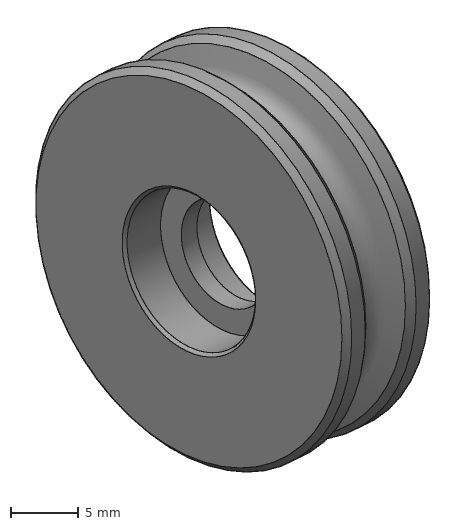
import cadquery as cq
import math

outer_radius = 32 / 2
width = 9.5
half_width = width / 2
face_chamfer = 0.5
rim_land = 1.47

groove_radius = 1.75
groove_floor_radius = 12.5
wall_angle = math.radians(15)
lip_drop = 0.5

bore_radius = 8.8 / 2
recess_radius = 13.0 / 2
recess_chamfer = 0.25
web_thickness = 1.7


def wheel_blank():
    """Solid grooved wheel, revolved from its half section."""
    rim_radius = outer_radius - face_chamfer
    land_outer_y = half_width - face_chamfer
    land_inner_y = land_outer_y - rim_land
    lip_radius = outer_radius - lip_drop
    arc_end_y = groove_radius * math.cos(wall_angle)
    arc_end_radius = groove_floor_radius + groove_radius * (1 - math.sin(wall_angle))
    lip_y = arc_end_y + (lip_radius - arc_end_radius) * math.tan(wall_angle)

    return (
        cq.Workplane("XY")
        .moveTo(0, -half_width)
        .lineTo(rim_radius, -half_width)
        .lineTo(outer_radius, -land_outer_y)
        .lineTo(outer_radius, -land_inner_y)
        .lineTo(lip_radius, -lip_y)
        .lineTo(arc_end_radius, -arc_end_y)
        .threePointArc((groove_floor_radius, 0), (arc_end_radius, arc_end_y))
        .lineTo(lip_radius, lip_y)
        .lineTo(outer_radius, land_inner_y)
        .lineTo(outer_radius, land_outer_y)
        .lineTo(rim_radius, half_width)
        .lineTo(0, half_width)
        .close()
        .revolve(360, (0, 0), (0, 1))
    )


def bore_cutter():
    """Through bore with a chamfered recess at each end."""
    mouth_radius = recess_radius + recess_chamfer
    recess_floor_y = web_thickness / 2
    chamfer_y = half_width - recess_chamfer

    return (
        cq.Workplane("XY")
        .moveTo(0, -half_width)
        .lineTo(mouth_radius, -half_width)
        .lineTo(recess_radius, -chamfer_y)
        .lineTo(recess_radius, -recess_floor_y)
        .lineTo(bore_radius, -recess_floor_y)
        .lineTo(bore_radius, recess_floor_y)
        .lineTo(recess_radius, recess_floor_y)
        .lineTo(recess_radius, chamfer_y)
        .lineTo(mouth_radius, half_width)
        .lineTo(0, half_width)
        .close()
        .revolve(360, (0, 0), (0, 1))
    )


result = wheel_blank().cut(bore_cutter())